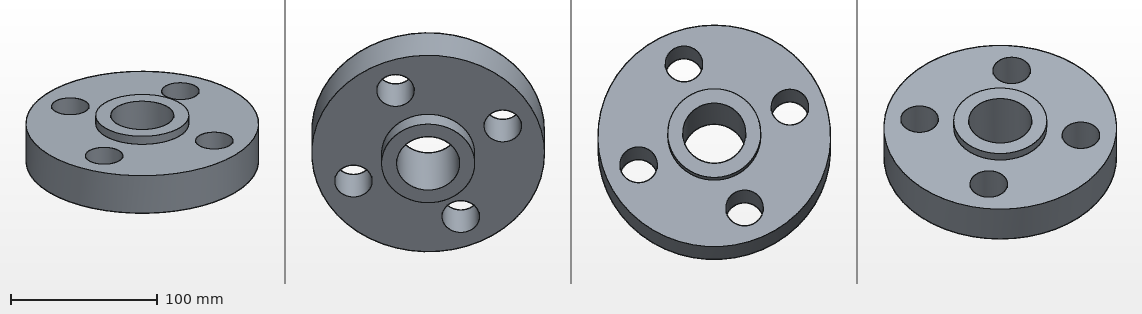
import cadquery as cq

flange_diameter = 158.8
flange_thickness = 28.7

hub_diameter = 63.5
hub_height_below = 12.5
hub_height_above = 6.2
bore_diameter = 43.0
total_height = hub_height_below + flange_thickness + hub_height_above

bolt_count = 4
bolt_hole_diameter = 25.5
bolt_circle_diameter = 111.1
first_bolt_angle = 180.0 / bolt_count


def make_flange():
    """Round plate raised above the bottom of the hub."""
    plane = cq.Workplane("XY").workplane(offset=hub_height_below)
    return plane.circle(flange_diameter / 2).extrude(flange_thickness)


def make_hub():
    """Solid hub standing on Z = 0 and passing through the plate."""
    return cq.Workplane("XY").circle(hub_diameter / 2).extrude(total_height)


def make_bore():
    return cq.Workplane("XY").circle(bore_diameter / 2).extrude(total_height)


def make_bolt_holes():
    return (
        cq.Workplane("XY")
        .polarArray(bolt_circle_diameter / 2, first_bolt_angle, 360, bolt_count)
        .circle(bolt_hole_diameter / 2)
        .extrude(total_height)
    )


result = make_flange().union(make_hub()).cut(make_bore()).cut(make_bolt_holes())